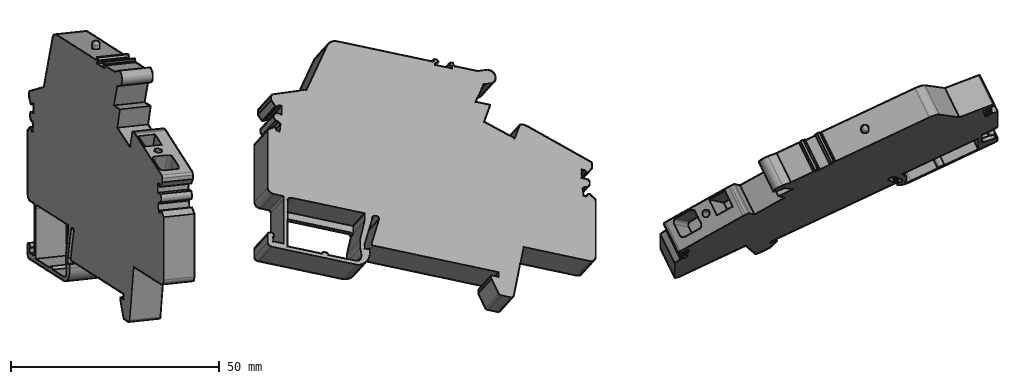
import cadquery as cq
import math

length = 86.0
thickness = 8.0
height = 61.9
overshoot = 0.9
slope_angle = math.radians(20.0)
slope = math.tan(slope_angle)

rail_level = 6.2
belly_level = 14.5
block_top = 31.65
shoulder_inset = 0.95
shoulder_edge = 41.6
top_level = 60.0
tower_foot_x = 10.2
tower_top_x = 16.3
block_corner = 1.55
tower_corner = 2.8
shoulder_corner = 0.7
step_left, step_right = 66.2, 67.5
step_left_corner, step_right_corner = 0.35, 1.7
step_foot = (64.8, 43.8)

latch_start_x = 55.0
latch_radius = 1.8
latch_center_x = 58.0
neck_x = 56.8
neck_level = 56.9
ledge_level = 51.5
ledge_inner_x, ledge_outer_x = 54.5, 58.4
recess_corner = (56.8, 46.5)

grip_lip_bottom = 38.6
grip_depth = 3.7
grip_roof = 39.1
rib_top, rib_bottom = 36.8, 34.75
rib_tip = (1.55, 35.8)
rib_root_depth = 2.15
lower_notch_depth, lower_notch_floor = 3.2, 32.1
barb_level = 32.85
shoulder_wall_bottom = 40.1
grip_lip_start, grip_lip_end, grip_bevel_end = 2.1, 2.5, 3.0
notch_roof, notch_corner = (2.8, 34.6), (3.4, 34.05)
barb_start, barb_end, barb_foot = 1.55, 2.0, 2.5

foot_wall_outer = 4.3
foot_wall_corner = 0.5
foot_wall_inner = 5.25
frame_floor = 1.0
toe_thickness = 1.7
toe_top = 3.9
toe_neck = 1.5
toe_floor = 1.55
toe_corner = 1.0
toe_floor_corner = 0.35
finger_level = 4.9
finger_x, finger_top = 26.75, 5.1
window_right = 25.45
window_corner = 1.0
ledge_bottom = 12.6
floor_rib_left, floor_rib_right, floor_rib_top = 14.2, 16.0, 1.6
frame_bend_start, frame_bend_end = 23.4, 4.1
frame_bend_middle = (25.5, 1.0)
finger_bevel_top, finger_bevel_bottom = 26.4, 26.2
waist_x, waist_top, waist_bottom = 24.25, 7.05, 4.9
inner_bend_start, inner_bend_middle = (24.6, 3.1), (24.25, 1.7)
inner_bend_end = 23.1
toe_neck_top = 2.75
gusset_top = 7.05
gusset_curve = [(3.9, 6.1), (3.2, 5.6), (0.95, 4.4)]
gusset_toe_x = 0.4
skin = 1.0

slot_mouth_x = 25.45
slot_mouth_z = 6.3
slot_top_left = 27.5
slot_shoulder_z = 13.85
slot_width = 1.7

seat_left = 26.2
claw_root_x, claw_tip_x = 60.55, 58.65
claw_level, claw_tip_bottom = 4.9, 3.95
claw_bottom_left, claw_bottom_right = 60.7, 64.4
claw_left_corner, claw_right_corner = 0.7, 0.9
seat_corner = 0.35
heel_x = 67.1

groove_left, groove_right = 43.9, 48.4
groove_floor = 59.25
lip_level = 60.8
lip_throat_level, lip_throat = 59.8, 0.2
lip_hook_level, lip_hook = 60.3, 0.95
lip_crown, lip_back, lip_base = 0.4, 0.3, 0.7

pin_x = 33.45
pin_diameter = 1.9

pocket_depth = 11.35
square_start, square_end, square_width = 69.0, 73.2, 4.3
round_start, round_end, round_width = 77.3, 83.0, 5.1
round_pocket_corner = 1.0
pocket_front = 0.4
test_hole_diameter = 1.8
test_hole_x = 75.25
test_hole_y = 3.0


def shoulder_height(x):
    """Height of the sloped right shoulder at x."""
    return shoulder_edge + (length - shoulder_inset - x) * slope


def extrude_profile(profile, y_start=0.0):
    """Extrude a closed XZ profile from y_start to the +Y face."""
    return profile.extrude(y_start - thickness).translate((0, y_start, 0))


def plate(points, y_start=0.0):
    """Flat piece with a straight-sided XZ outline, from y_start to the +Y face."""
    return extrude_profile(cq.Workplane("XZ").polyline(points).close(), y_start)


def round_edges(solid, x, z, radius):
    """Fillet the Y-parallel edge nearest to (x, z)."""
    return solid.edges("|Y").edges(cq.selectors.NearestToPointSelector((x, thickness / 2, z))).fillet(radius)


def make_housing():
    """Housing above the rail, with the latch nose at its upper right."""
    tower_foot_z = shoulder_edge + (tower_foot_x - shoulder_inset) * slope
    offset_x = latch_radius * math.sin(slope_angle)
    offset_z = latch_radius * math.cos(slope_angle)
    latch_upper_x = latch_center_x - offset_x
    latch_upper_z = top_level + (latch_upper_x - latch_start_x) * slope
    latch_lower_x = latch_center_x + offset_x
    latch_lower_z = latch_upper_z - 2 * offset_z
    latch_tip = (latch_center_x + offset_z, latch_upper_z - offset_z + offset_x)
    profile = (
        cq.Workplane("XZ")
        .moveTo(0, belly_level)
        .lineTo(0, shoulder_edge)
        .lineTo(shoulder_inset, shoulder_edge)
        .lineTo(tower_foot_x, tower_foot_z)
        .lineTo(tower_top_x, top_level)
        .lineTo(latch_start_x, top_level)
        .lineTo(latch_upper_x, latch_upper_z)
        .threePointArc(latch_tip, (latch_lower_x, latch_lower_z))
        .lineTo(latch_lower_x - (latch_lower_z - neck_level) / slope, neck_level)
        .lineTo(neck_x, neck_level)
        .lineTo(ledge_inner_x, ledge_level)
        .lineTo(ledge_outer_x, ledge_level)
        .lineTo(*recess_corner)
        .lineTo(*step_foot)
        .lineTo(step_left, shoulder_height(step_right))
        .lineTo(step_right, shoulder_height(step_right))
        .lineTo(length - shoulder_inset, shoulder_edge)
        .lineTo(length, shoulder_edge)
        .lineTo(length, belly_level)
        .close()
    )
    housing = extrude_profile(profile)
    housing = round_edges(housing, tower_top_x, top_level, tower_corner)
    for x in (0, length):
        housing = round_edges(housing, x, belly_level, block_corner)
    crest = shoulder_height(step_right)
    housing = round_edges(housing, step_left, crest, step_left_corner)
    housing = round_edges(housing, step_right, crest, step_right_corner)
    return housing


def make_side_cutter():
    """Space around the ribbed grip on the left side."""
    profile = (
        cq.Workplane("XZ")
        .moveTo(-overshoot, shoulder_edge + overshoot)
        .lineTo(shoulder_inset, shoulder_edge + overshoot)
        .lineTo(shoulder_inset, shoulder_wall_bottom)
        .lineTo(grip_lip_start, grip_lip_bottom)
        .lineTo(grip_lip_end, grip_lip_bottom)
        .lineTo(grip_bevel_end, grip_roof)
        .lineTo(grip_depth, grip_roof)
        .lineTo(grip_depth, rib_top)
        .lineTo(rib_root_depth, rib_top)
        .threePointArc(rib_tip, (rib_root_depth, rib_bottom))
        .lineTo(*notch_roof)
        .lineTo(*notch_corner)
        .lineTo(lower_notch_depth, lower_notch_floor)
        .lineTo(barb_foot, lower_notch_floor)
        .lineTo(barb_end, barb_level)
        .lineTo(barb_start, barb_level)
        .lineTo(0, block_top)
        .lineTo(-overshoot, block_top)
        .close()
    )
    return extrude_profile(profile)


def make_rail_seat():
    """Solid centre resting on the rail, ending in the right-hand claw."""
    seat = plate([
        (seat_left, belly_level),
        (seat_left, rail_level),
        (claw_root_x, rail_level),
        (claw_root_x, claw_level),
        (claw_tip_x, claw_level),
        (claw_tip_x, claw_tip_bottom),
        (claw_bottom_left, 0),
        (claw_bottom_right, 0),
        (heel_x, belly_level),
    ])
    seat = round_edges(seat, claw_bottom_left, 0, claw_left_corner)
    return round_edges(seat, claw_bottom_right, 0, claw_right_corner)


def make_foot():
    """Outer shape of the left foot, before its window is cut."""
    toe_radius = toe_thickness / 2
    profile = (
        cq.Workplane("XZ")
        .moveTo(foot_wall_outer, belly_level)
        .lineTo(foot_wall_outer, toe_floor)
        .lineTo(toe_neck, toe_floor)
        .lineTo(toe_neck, toe_neck_top)
        .lineTo(toe_thickness, toe_top - toe_radius)
        .threePointArc((toe_radius, toe_top), (0, toe_top - toe_radius))
        .lineTo(0, 0)
        .lineTo(frame_bend_start, 0)
        .threePointArc(frame_bend_middle, (finger_x, frame_bend_end))
        .lineTo(finger_x, finger_top)
        .lineTo(finger_bevel_top, finger_top)
        .lineTo(finger_bevel_bottom, finger_level)
        .lineTo(slot_mouth_x, finger_level)
        .lineTo(slot_mouth_x, slot_mouth_z)
        .lineTo(slot_top_left, slot_shoulder_z)
        .lineTo(slot_top_left, belly_level)
        .close()
    )
    return round_edges(extrude_profile(profile), 0, 0, toe_corner)


def make_window():
    """Opening of the left foot, with a small rib standing on its floor."""
    floor_rib_center = (floor_rib_left + floor_rib_right) / 2
    profile = (
        cq.Workplane("XZ")
        .moveTo(foot_wall_inner, frame_floor)
        .lineTo(foot_wall_inner, belly_level)
        .lineTo(window_right, belly_level)
        .lineTo(window_right, ledge_bottom)
        .lineTo(waist_x, waist_top)
        .lineTo(waist_x, waist_bottom)
        .lineTo(*inner_bend_start)
        .threePointArc(inner_bend_middle, (inner_bend_end, frame_floor))
        .lineTo(floor_rib_right, frame_floor)
        .threePointArc((floor_rib_center, floor_rib_top), (floor_rib_left, frame_floor))
        .close()
    )
    window = round_edges(extrude_profile(profile), foot_wall_inner, belly_level, window_corner)
    return window.cut(make_ledge())


def make_slot():
    """Inclined slot with a round upper end, open at the bottom."""
    lean = (slot_top_left - slot_mouth_x) / (slot_shoulder_z - slot_mouth_z)
    bottom_x = slot_mouth_x - lean * (slot_mouth_z - rail_level)
    right_x = slot_top_left + slot_width
    profile = (
        cq.Workplane("XZ")
        .moveTo(bottom_x, rail_level)
        .lineTo(slot_top_left, slot_shoulder_z)
        .threePointArc((slot_top_left + slot_width / 2, belly_level), (right_x, slot_shoulder_z))
        .lineTo(bottom_x + slot_width, rail_level)
        .close()
    )
    return extrude_profile(profile)


def make_ledge():
    """Thin wall along the +Y face that hangs below the block and closes the top of the window."""
    bottom = ledge_bottom - window_corner
    bend = window_corner * (1 - math.sqrt(0.5))
    left, right = foot_wall_inner, window_right
    profile = (
        cq.Workplane("XZ")
        .moveTo(left, belly_level)
        .lineTo(left, bottom)
        .threePointArc((left + bend, ledge_bottom - bend), (left + window_corner, ledge_bottom))
        .lineTo(right - window_corner, ledge_bottom)
        .threePointArc((right - bend, ledge_bottom - bend), (right, bottom))
        .lineTo(right, belly_level)
        .close()
    )
    return extrude_profile(profile, thickness - skin)


def make_gusset():
    """Thin wall on the +Y face that joins the toe to the frame wall."""
    wall_x = (foot_wall_outer + foot_wall_inner) / 2
    return plate([
        (wall_x, gusset_top),
        (foot_wall_outer, gusset_top),
        *gusset_curve,
        (gusset_toe_x, toe_top),
        (gusset_toe_x, frame_floor),
        (wall_x, frame_floor),
    ], thickness - skin)


def make_lip(edge_x, side):
    """Small hooked lip beside the marking groove; side is +1 when it hooks toward +X."""
    return plate([
        (edge_x, groove_floor),
        (edge_x + side * lip_throat, lip_throat_level),
        (edge_x + side * lip_hook, lip_hook_level),
        (edge_x + side * lip_crown, lip_level),
        (edge_x - side * lip_back, lip_level),
        (edge_x - side * lip_back, lip_hook_level),
        (edge_x - side * lip_base, top_level),
        (edge_x - side * lip_base, groove_floor),
    ])


def make_pin():
    """Round indicator with a hemispherical tip."""
    radius = pin_diameter / 2
    dome_center = height - radius
    dome_middle = radius * math.sqrt(0.5)
    return (
        cq.Workplane("XZ")
        .moveTo(0, top_level - overshoot)
        .lineTo(radius, top_level - overshoot)
        .lineTo(radius, dome_center)
        .threePointArc((dome_middle, dome_center + dome_middle), (0, height))
        .close()
        .revolve(360, (0, 0, 0), (0, 1, 0))
        .translate((pin_x, thickness / 2, 0))
    )


def shoulder_plane(x, y):
    """Workplane on the right shoulder, its normal pointing out of the part."""
    return cq.Workplane(cq.Plane(
        origin=(x, y, shoulder_height(x)),
        xDir=(1, 0, -slope),
        normal=(slope, 0, 1),
    ))


def make_pocket(x_start, x_end, width, corner=0):
    """Rectangular pocket in the right shoulder."""
    along = (x_end - x_start) * math.hypot(1, slope)
    centre_x = (x_start + x_end) / 2
    pocket = shoulder_plane(centre_x, pocket_front + width / 2).rect(along, width).extrude(-pocket_depth)
    if corner:
        direction = cq.Vector(slope, 0, 1)
        pocket = pocket.edges(cq.selectors.ParallelDirSelector(direction)).fillet(corner)
    return pocket


housing = make_housing().union(make_rail_seat())
side_cutter = make_side_cutter()
housing = housing.cut(side_cutter)
housing = housing.cut(side_cutter.mirror("YZ").translate((length, 0, 0)))

for x in (shoulder_inset, length - shoulder_inset):
    housing = round_edges(housing, x, shoulder_edge, shoulder_corner)

result = housing.union(make_foot()).cut(make_slot()).cut(make_window())
for z, radius in ((belly_level, foot_wall_corner), (toe_floor, toe_floor_corner)):
    result = round_edges(result, foot_wall_outer, z, radius)
result = round_edges(result, slot_mouth_x + slot_width, rail_level, seat_corner)
result = result.union(make_gusset())

groove = plate([
    (groove_left, groove_floor),
    (groove_left, top_level + overshoot),
    (groove_right, top_level + overshoot),
    (groove_right, groove_floor),
])
result = result.cut(groove)
result = result.union(make_lip(groove_left, 1)).union(make_lip(groove_right, -1))
result = result.union(make_pin())

result = result.cut(make_pocket(square_start, square_end, square_width))
result = result.cut(make_pocket(round_start, round_end, round_width, round_pocket_corner))
test_hole = shoulder_plane(test_hole_x, test_hole_y).circle(test_hole_diameter / 2).extrude(-pocket_depth)
result = result.cut(test_hole)